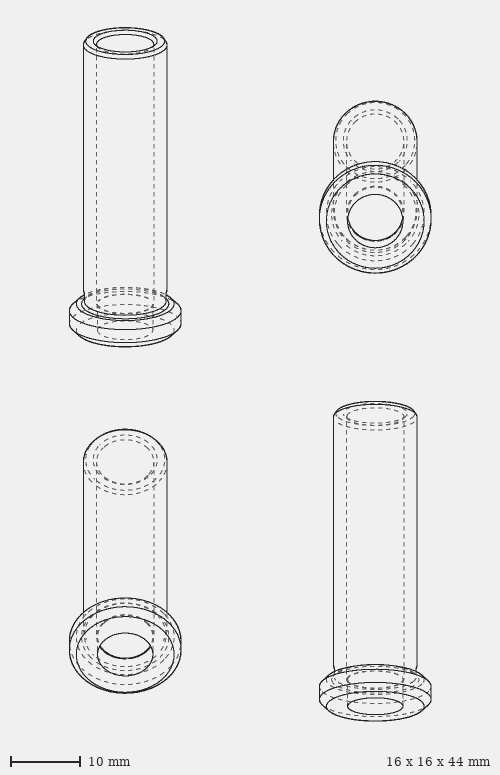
import cadquery as cq

length = 44.0
flange_radius = 16.0 / 2
body_radius = 12.0 / 2
neck_radius = 11.7 / 2

flange_height = 4.0
flange_chamfer = 1.0

neck_flare = 0.4
body_start = 6.2
neck_taper_height = 0.55

tip_chamfer_width = 0.35
tip_chamfer_height = 0.55

bore_radius = 8.2 / 2
narrow_bore_radius = 7.9 / 2
bore_chamfer = 0.5


def make_outer_body():
    """Revolve the flange, relief neck and body about Z."""
    profile = [
        (0, 0),
        (flange_radius - flange_chamfer, 0),
        (flange_radius, flange_chamfer),
        (flange_radius, flange_height - flange_chamfer),
        (flange_radius - flange_chamfer, flange_height),
        (neck_radius + neck_flare, flange_height),
        (neck_radius, flange_height + neck_flare),
        (neck_radius, body_start - neck_taper_height),
        (body_radius, body_start),
        (body_radius, length - tip_chamfer_height),
        (body_radius - tip_chamfer_width, length),
        (0, length),
    ]
    return cq.Workplane("XZ").polyline(profile).close().revolve(360, (0, 0), (0, 1))


def make_bore():
    """Revolve the stepped bore with its chamfered mouth at the top."""
    profile = [
        (0, 0),
        (narrow_bore_radius, 0),
        (narrow_bore_radius, flange_height),
        (bore_radius, flange_height),
        (bore_radius, length - bore_chamfer),
        (bore_radius + bore_chamfer, length),
        (0, length),
    ]
    return cq.Workplane("XZ").polyline(profile).close().revolve(360, (0, 0), (0, 1))


result = make_outer_body().cut(make_bore())